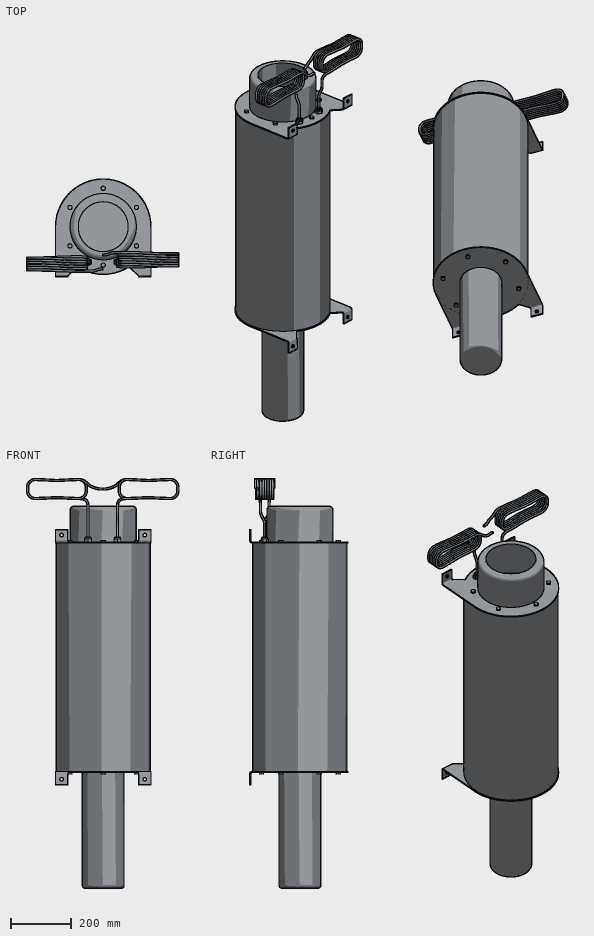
import cadquery as cq
import math

body_bottom = 384.0
body_top = 1133.0
collar_top = 1254.5
overall_height = 1345.13

lower_tube_diameter = 138.0
lower_tube_rounding = 10.0
body_diameter = 310.0
collar_diameter = 218.0
collar_rounding = 14.0
bore_diameter = 163.8

plate_thickness = 4.0
plate_radius = 157.0
housing_depth = 322.0
tab_front = plate_radius - housing_depth
tab_width = 41.0
tab_height = 44.0
tab_bend_radius = 8.0
tab_hole_diameter = 11.0
tab_hole_height = 26.0
neck_x = 84.0
neck_y = -math.sqrt(plate_radius**2 - neck_x**2)

screw_circle_radius = 126.0
screw_count = 6
screw_head_diameter = 14.0
screw_head_height = 5.0

cable_pair_x = -1.5
gland_spacing = 97.0
gland_x = cable_pair_x - gland_spacing / 2
gland_y = -math.sqrt(screw_circle_radius**2 - gland_x**2)
gland_hex_flats = 22.0
gland_hex_height = 9.0
gland_cap_diameter = 19.47
gland_cap_height = 7.0
gland_cap_chamfer = 2.0

cable_diameter = 7.5
cable_radius = cable_diameter / 2
overall_width = 500.4
turn_count = 6
turn_pitch = 7.9
coil_length = 200.0
coil_height = 70.0
coil_corner_radius = 25.0
coil_bow = 3.0
coil_first_y = -98.8
coil_left = cable_pair_x - overall_width / 2 + cable_radius
coil_right = coil_left + coil_length - cable_diameter
coil_top = overall_height - cable_radius
coil_bottom = coil_top - coil_height + cable_diameter
coil_run_left = coil_left + coil_corner_radius
coil_run_right = coil_right - coil_corner_radius
coil_middle_x = (coil_run_left + coil_run_right) / 2

lead_y = -101.8
lead_jog_bottom = 1195.0
lead_jog_top = 1238.0
lead_bend_bottom = 1255.0

tail_clear_point = (-38.0, 1318.0)
tail_clear_slope = -0.4
tail_end_z = 1310.0
tail_end_shift = 8.0


def cylinder(diameter, z_start, z_end):
    return cq.Workplane("XY").workplane(offset=z_start).circle(diameter / 2).extrude(z_end - z_start)


def end_plate(outward):
    """Plate built on z = 0, lying and bending toward outward (+1 up, -1 down)."""
    tab_inner_x = plate_radius - tab_width
    tab_back = tab_front + plate_thickness
    plate = (
        cq.Workplane("XY")
        .moveTo(plate_radius, 0)
        .threePointArc((0, plate_radius), (-plate_radius, 0))
        .lineTo(-plate_radius, tab_front)
        .lineTo(-tab_inner_x, tab_front)
        .lineTo(-tab_inner_x, tab_back)
        .lineTo(-neck_x, neck_y)
        .threePointArc((0, -plate_radius), (neck_x, neck_y))
        .lineTo(tab_inner_x, tab_back)
        .lineTo(tab_inner_x, tab_front)
        .lineTo(plate_radius, tab_front)
        .close()
        .extrude(outward * plate_thickness)
    )
    for side in (-1, 1):
        tab_x = side * (plate_radius - tab_width / 2)
        tab = (
            cq.Workplane("XY")
            .center(tab_x, tab_front + plate_thickness / 2)
            .rect(tab_width, plate_thickness)
            .extrude(outward * tab_height)
        )
        hole = (
            cq.Workplane("XZ", origin=(tab_x, tab_back, outward * tab_hole_height))
            .circle(tab_hole_diameter / 2)
            .extrude(plate_thickness)
        )
        plate = plate.union(tab.cut(hole))
    plate_face = ">Z" if outward < 0 else "<Z"
    plate = plate.faces(plate_face).edges("<Y").fillet(tab_bend_radius)
    for side in (-1, 1):
        inner_corner = cq.selectors.NearestToPointSelector(
            (side * (plate_radius - tab_width / 2), tab_back, outward * plate_thickness)
        )
        plate = plate.edges(inner_corner).fillet(tab_bend_radius - plate_thickness)
    screws = (
        cq.Workplane("XY")
        .polarArray(screw_circle_radius, 90, 360, screw_count)
        .circle(screw_head_diameter / 2)
        .extrude(outward * (plate_thickness + screw_head_height))
    )
    return plate.union(screws)


def make_housing():
    lower_tube = cylinder(lower_tube_diameter, 0, body_bottom).faces("<Z").edges().fillet(lower_tube_rounding)
    collar = cylinder(collar_diameter, body_top, collar_top).faces(">Z").edges().fillet(collar_rounding)
    bore = cylinder(bore_diameter, body_top + plate_thickness, collar_top)
    return (
        cylinder(body_diameter, body_bottom, body_top)
        .union(lower_tube)
        .union(collar)
        .union(end_plate(-1).translate((0, 0, body_bottom)))
        .union(end_plate(1).translate((0, 0, body_top)))
        .cut(bore)
    )


def smooth_edge(points, start_direction, end_direction):
    return cq.Edge.makeSpline(
        [cq.Vector(*point) for point in points],
        tangents=[cq.Vector(*start_direction), cq.Vector(*end_direction)],
    )


def line_edge(start, end):
    return cq.Edge.makeLine(cq.Vector(*start), cq.Vector(*end))


def corner_edge(start_angle, y):
    """Quarter turn of the coil, clockwise seen from the front, beginning at start_angle degrees."""
    middle_angle = start_angle - 45
    end_angle = start_angle - 90
    to_right = math.cos(math.radians(middle_angle)) > 0
    to_top = math.sin(math.radians(middle_angle)) > 0
    centre_x = coil_run_right if to_right else coil_run_left
    centre_z = coil_top - coil_corner_radius if to_top else coil_bottom + coil_corner_radius
    points = [
        cq.Vector(
            centre_x + coil_corner_radius * math.cos(math.radians(angle)),
            y,
            centre_z + coil_corner_radius * math.sin(math.radians(angle)),
        )
        for angle in (start_angle, middle_angle, end_angle)
    ]
    return cq.Edge.makeThreePointArc(*points)


def coil_edges():
    """Turns of the coil: out along the bottom, back along the top, half a pitch forward on each run."""
    low_z = coil_bottom + coil_corner_radius
    high_z = coil_top - coil_corner_radius
    half_pitch = turn_pitch / 2
    left = (-1, 0, 0)
    right = (1, 0, 0)
    edges = []
    for turn in range(turn_count):
        bottom_y = coil_first_y - turn * turn_pitch
        left_y = bottom_y - half_pitch
        top_y = left_y - half_pitch
        bottom_run = [
            (coil_run_right, bottom_y, coil_bottom),
            (coil_middle_x, bottom_y - half_pitch / 2, coil_bottom + coil_bow),
            (coil_run_left, left_y, coil_bottom),
        ]
        top_run = [
            (coil_run_left, left_y, coil_top),
            (coil_middle_x, left_y - half_pitch / 2, coil_top - coil_bow),
            (coil_run_right, top_y, coil_top),
        ]
        edges.append(smooth_edge(bottom_run, left, left))
        edges.append(corner_edge(270, left_y))
        edges.append(line_edge((coil_left, left_y, low_z), (coil_left, left_y, high_z)))
        edges.append(corner_edge(180, left_y))
        edges.append(smooth_edge(top_run, right, right))
        if turn < turn_count - 1:
            edges.append(corner_edge(90, top_y))
            edges.append(line_edge((coil_right, top_y, high_z), (coil_right, top_y, low_z)))
            edges.append(corner_edge(0, top_y))
    return edges


def make_cable():
    """Gland, rising lead, flat coil and free tail of the cable on the -X side."""
    gland_base = body_top + plate_thickness
    cap_base = gland_base + gland_hex_height
    lead_start = (gland_x, gland_y, cap_base)
    jog_start = (gland_x, gland_y, lead_jog_bottom)
    jog_end = (gland_x, lead_y, lead_jog_top)
    bend_start = (gland_x, lead_y, lead_bend_bottom)
    coil_start = (coil_run_right, coil_first_y, coil_bottom)
    coil_end_y = coil_first_y - turn_count * turn_pitch
    coil_end = (coil_run_right, coil_end_y, coil_top)
    tail_x, tail_z = tail_clear_point
    tail_clear = (tail_x, coil_end_y, tail_z)
    tail_end = (cable_pair_x, coil_end_y + tail_end_shift, tail_end_z)
    up = (0, 0, 1)
    tail_direction = (1, 0, tail_clear_slope)
    path = cq.Wire.assembleEdges(
        [
            line_edge(lead_start, jog_start),
            smooth_edge([jog_start, jog_end], up, up),
            line_edge(jog_end, bend_start),
            smooth_edge([bend_start, coil_start], up, (-1, 0, 0)),
            *coil_edges(),
            smooth_edge([coil_end, tail_clear], (1, 0, 0), tail_direction),
            smooth_edge([tail_clear, tail_end], tail_direction, (1, 0, 0)),
        ]
    )
    cable = cq.Workplane("XY", origin=lead_start).circle(cable_radius).sweep(path)
    hexagon = (
        cq.Workplane("XY", origin=(gland_x, gland_y, gland_base))
        .polygon(6, gland_hex_flats, circumscribed=True)
        .extrude(gland_hex_height)
    )
    cap = (
        cq.Workplane("XY", origin=lead_start)
        .circle(gland_cap_diameter / 2)
        .extrude(gland_cap_height)
        .faces(">Z")
        .chamfer(gland_cap_chamfer)
    )
    return cable.union(hexagon.union(cap))


housing = make_housing()
cables = []
for turn_angle in (0, 180):
    cables.append(make_cable().rotate((cable_pair_x, gland_y, 0), (cable_pair_x, gland_y, 1), turn_angle))

result = cq.Compound.makeCompound([housing.val(), *[cable.val() for cable in cables]])